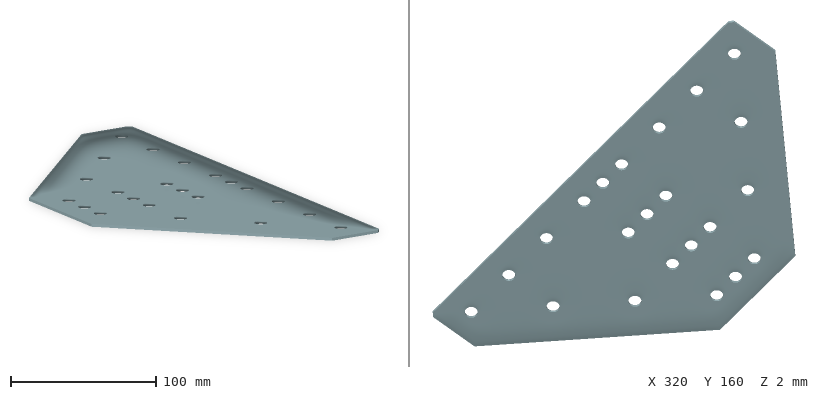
import cadquery as cq

length = 320.0
depth = length / 2
thickness = 2.0
pitch = length / 8
hole_diameter = 9.0
corner_chamfer = 2.5

half_length = length / 2
half_depth = depth / 2
half_foot = pitch
shoulder_y = half_depth - pitch

plate = (
    cq.Workplane("XY")
    .polyline([
        (-half_foot, -half_depth),
        (half_foot, -half_depth),
        (half_length, shoulder_y),
        (half_length, half_depth),
        (-half_length, half_depth),
        (-half_length, shoulder_y),
    ])
    .close()
    .extrude(thickness)
)
back_corners = plate.edges("|Z").edges(">Y")
plate = back_corners.chamfer(corner_chamfer)


def hole_positions():
    """Three centre columns, plus outer holes along the back edge and the slopes."""
    center_offset = pitch / 2
    row_count = 4
    points = []
    for row in range(row_count):
        y = half_depth - center_offset - row * pitch
        points += [(x, y) for x in (-center_offset, 0, center_offset)]
        outermost = row_count - 1 - row
        first = 1 if row == 0 else max(outermost, 1)
        for step in range(first, outermost + 1):
            x = center_offset + step * pitch
            points += [(-x, y), (x, y)]
    return points


holes = (
    cq.Workplane("XY")
    .pushPoints(hole_positions())
    .circle(hole_diameter / 2)
    .extrude(thickness)
)

result = plate.cut(holes)